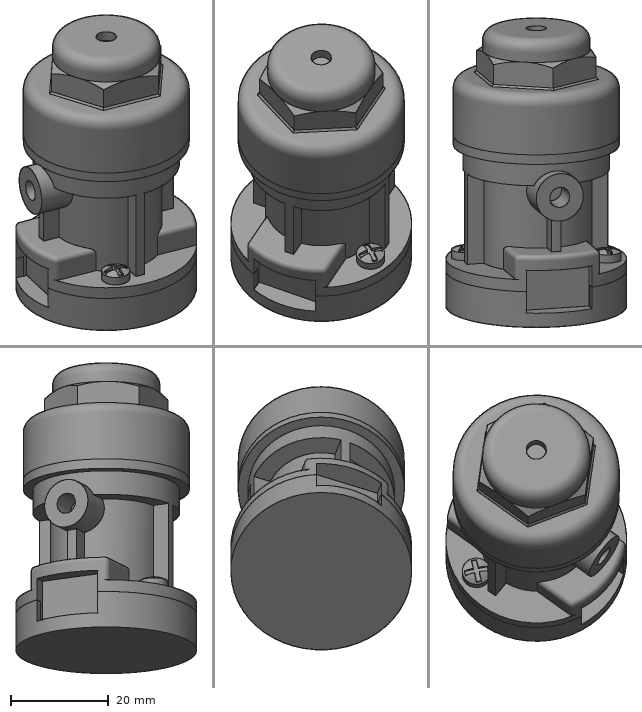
import cadquery as cq
import math

FOOT_DIAMETER = 37.0
COLLAR_DIAMETER = 30.0
BARREL_DIAMETER = 22.9
CAP_DIAMETER = 34.0

BASE_FLOOR_TOP = 3.0
BASE_TOP = 7.5
FLANGE_TOP = 10.0
COLLAR_BOTTOM = 29.0
RIM_BOTTOM = 34.0
RIM_TOP = 36.0
CAP_SHOULDER = 48.5
HEX_TOP = 54.0
CAP_TOP = 58.5

BASE_WALL = 1.5
PLUG_DIAMETER = FOOT_DIAMETER - 2 * BASE_WALL

POCKET_WIDTH = 14.0
POCKET_TOP = 12.0
POCKET_FLOOR_Y = 14.7

PAD_WIDTH = 18.0
PAD_TOP = 15.0
PAD_ROUND = 1.0

RIB_COUNT = 4
RIB_WIDTH = 2.0

PORT_DIAMETER = 10.0
PORT_BORE_DIAMETER = 4.2
PORT_CENTER_Z = 27.0
PORT_FACE_Y = 17.5
PORT_BORE_DEPTH = PORT_FACE_Y - BARREL_DIAMETER / 2

SCREW_HEAD_DIAMETER = 5.8
SCREW_HEAD_EDGE_HEIGHT = 1.7
SCREW_DOME_HEIGHT = 0.8
SCREW_CIRCLE_RADIUS = 14.5
SCREW_AND_CROSS_ANGLES = ((160.0, 50.0), (340.0, 0.0))
CROSS_LENGTH = 4.8
CROSS_WIDTH = 1.0
CROSS_DEPTH = 0.8

CAP_ROUND = 2.5
TOP_DIAMETER = 22.0
HEX_SIDES = 6
HEX_ACROSS_FLATS = 21.9
HEX_CHAMFER_ANGLE = 30.0
HEX_ROOT_CHAMFER = 0.4
CAP_BORE_DIAMETER = 4.1
CAP_BORE_DEPTH = 2.0


def cylinder(diameter, bottom, top):
    """Vertical cylinder on the Z axis between two heights."""
    return cq.Workplane("XY").workplane(offset=bottom).circle(diameter / 2).extrude(top - bottom)


def block(width, near_y, far_y, bottom, top):
    """Box centred on X, between two Y positions and two heights."""
    box = cq.Workplane("XY").box(width, far_y - near_y, top - bottom, centered=(True, False, False))
    return box.translate((0, near_y, bottom))


def on_both_sides(shape):
    """The +Y shape together with its copy turned half a turn about Z."""
    return shape.union(shape.rotate((0, 0, 0), (0, 0, 1), 180))


def latch_pockets():
    return on_both_sides(block(POCKET_WIDTH, POCKET_FLOOR_Y, FOOT_DIAMETER, BASE_FLOOR_TOP, POCKET_TOP))


def make_base():
    cup = cylinder(FOOT_DIAMETER, 0, BASE_TOP)
    cup = cup.cut(cylinder(PLUG_DIAMETER, BASE_FLOOR_TOP, BASE_TOP))
    return cup.cut(latch_pockets())


def make_pads():
    pad = block(PAD_WIDTH, 0, FOOT_DIAMETER, FLANGE_TOP, PAD_TOP)
    pad = pad.intersect(cylinder(FOOT_DIAMETER, FLANGE_TOP, PAD_TOP))
    pad = pad.edges("|Z").edges("not <Y").fillet(PAD_ROUND)
    pad = pad.faces(">Z").edges("not <Y").fillet(PAD_ROUND)
    return on_both_sides(pad)


def make_ribs():
    length = COLLAR_BOTTOM - FLANGE_TOP
    ribs = cq.Workplane("XY")
    for index in range(RIB_COUNT // 2):
        bar = cq.Workplane("XY").box(COLLAR_DIAMETER, RIB_WIDTH, length, centered=(True, True, False))
        ribs = ribs.add(bar.rotate((0, 0, 0), (0, 0, 1), index * 360 / RIB_COUNT).val())
    ribs = ribs.combine().translate((0, 0, FLANGE_TOP))
    return ribs.intersect(cylinder(COLLAR_DIAMETER, FLANGE_TOP, COLLAR_BOTTOM))


def make_screw_head(cross_angle):
    radius = SCREW_HEAD_DIAMETER / 2
    total_height = SCREW_HEAD_EDGE_HEIGHT + SCREW_DOME_HEIGHT
    sphere_radius = (radius**2 + SCREW_DOME_HEIGHT**2) / (2 * SCREW_DOME_HEIGHT)
    half_angle = math.asin(radius / sphere_radius) / 2
    arc_middle = (
        sphere_radius * math.sin(half_angle),
        total_height - sphere_radius * (1 - math.cos(half_angle)),
    )
    head = (
        cq.Workplane("XZ")
        .lineTo(radius, 0)
        .lineTo(radius, SCREW_HEAD_EDGE_HEIGHT)
        .threePointArc(arc_middle, (0, total_height))
        .close()
        .revolve(360, (0, 0, 0), (0, 1, 0))
    )
    cross = (
        cq.Workplane("XY")
        .workplane(offset=total_height - CROSS_DEPTH)
        .rect(CROSS_LENGTH, CROSS_WIDTH)
        .extrude(CROSS_DEPTH)
    )
    cross = cross.union(cross.rotate((0, 0, 0), (0, 0, 1), 90))
    return head.cut(cross.rotate((0, 0, 0), (0, 0, 1), cross_angle))


def port_cylinder(diameter, length):
    """Cylinder running inward from the port face towards +Y."""
    port_face = cq.Workplane("XZ", origin=(0, -PORT_FACE_Y, PORT_CENTER_Z))
    return port_face.circle(diameter / 2).extrude(-length)


def make_housing():
    body = cylinder(PLUG_DIAMETER, BASE_FLOOR_TOP, BASE_TOP)
    body = body.union(cylinder(FOOT_DIAMETER, BASE_TOP, FLANGE_TOP))
    body = body.union(make_pads())
    body = body.union(cylinder(BARREL_DIAMETER, FLANGE_TOP, COLLAR_BOTTOM))
    body = body.union(make_ribs())
    body = body.union(cylinder(COLLAR_DIAMETER, COLLAR_BOTTOM, RIM_BOTTOM))
    body = body.union(cylinder(CAP_DIAMETER, RIM_BOTTOM, RIM_TOP))
    body = body.union(port_cylinder(PORT_DIAMETER, PORT_FACE_Y))
    for angle, cross_angle in SCREW_AND_CROSS_ANGLES:
        x = SCREW_CIRCLE_RADIUS * math.cos(math.radians(angle))
        y = SCREW_CIRCLE_RADIUS * math.sin(math.radians(angle))
        body = body.union(make_screw_head(cross_angle).translate((x, y, FLANGE_TOP)))
    body = body.clean()
    body = body.cut(port_cylinder(PORT_BORE_DIAMETER, PORT_BORE_DEPTH))
    return body.cut(latch_pockets())


def make_hexagon():
    height = HEX_TOP - CAP_SHOULDER
    half_side_angle = 180 / HEX_SIDES
    corner_diameter = HEX_ACROSS_FLATS / math.cos(math.radians(half_side_angle))
    prism = (
        cq.Workplane("XY")
        .workplane(offset=CAP_SHOULDER)
        .polygon(HEX_SIDES, corner_diameter)
        .extrude(height)
        .rotate((0, 0, 0), (0, 0, 1), half_side_angle)
    )
    cone_bottom_radius = TOP_DIAMETER / 2 + height / math.tan(math.radians(HEX_CHAMFER_ANGLE))
    cone = (
        cq.Workplane("XZ")
        .moveTo(0, CAP_SHOULDER)
        .lineTo(cone_bottom_radius, CAP_SHOULDER)
        .lineTo(TOP_DIAMETER / 2, HEX_TOP)
        .lineTo(0, HEX_TOP)
        .close()
        .revolve(360, (0, 0, 0), (0, 1, 0))
    )
    return prism.intersect(cone)


def make_cap():
    shell = cylinder(CAP_DIAMETER, RIM_TOP, CAP_SHOULDER).faces(">Z").edges().fillet(CAP_ROUND)
    cap = shell.union(make_hexagon())
    on_shoulder = cq.selectors.BoxSelector(
        (-CAP_DIAMETER, -CAP_DIAMETER, CAP_SHOULDER - HEX_ROOT_CHAMFER),
        (CAP_DIAMETER, CAP_DIAMETER, CAP_SHOULDER + HEX_ROOT_CHAMFER),
    )
    cap = cap.edges(on_shoulder).edges("%LINE").chamfer(HEX_ROOT_CHAMFER)
    top = cylinder(TOP_DIAMETER, HEX_TOP, CAP_TOP).faces(">Z").edges().fillet(CAP_ROUND)
    cap = cap.union(top)
    return cap.cut(cylinder(CAP_BORE_DIAMETER, CAP_TOP - CAP_BORE_DEPTH, CAP_TOP))


base = make_base()
housing = make_housing()
cap = make_cap()

result = cq.Compound.makeCompound([base.val(), housing.val(), cap.val()])